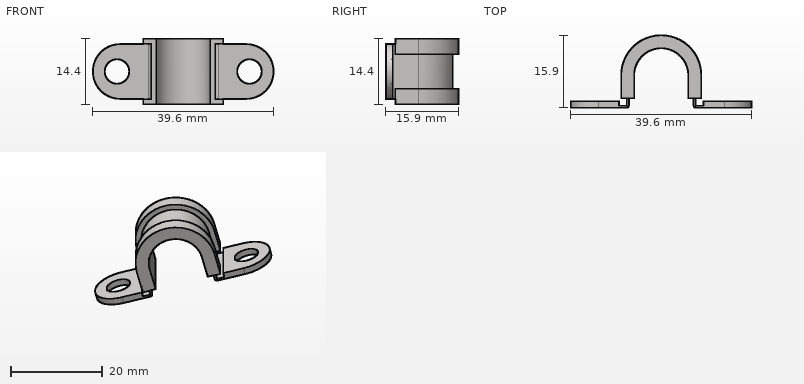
import cadquery as cq

total_length = 39.6
total_depth = 15.9
cushion_height = 14.4
cushion_outer_radius = 8.8
cushion_inner_radius = 5.9
cushion_leg_length = 5.05
groove_height = 7.52
strap_outer_radius = 7.55
strap_thickness = 0.5
strap_height = 12.05
bend_radius = 0.6
tab_thickness = 1.5
pad_inner_x = 9.23
hole_diameter = 5.3
hole_x = 14.5

front_y = cushion_outer_radius - total_depth
strap_inner_radius = strap_outer_radius - strap_thickness
tab_end_radius = strap_height / 2
tab_end_x = total_length / 2 - tab_end_radius


def arch(outer_radius, inner_radius, leg_length, height):
    """Half ring with straight legs, centred in height on the XY plane."""
    return (
        cq.Workplane("XY")
        .workplane(offset=-height / 2)
        .moveTo(-outer_radius, -leg_length)
        .lineTo(-outer_radius, 0)
        .threePointArc((0, outer_radius), (outer_radius, 0))
        .lineTo(outer_radius, -leg_length)
        .lineTo(inner_radius, -leg_length)
        .lineTo(inner_radius, 0)
        .threePointArc((0, inner_radius), (-inner_radius, 0))
        .lineTo(-inner_radius, -leg_length)
        .close()
        .extrude(height)
    )


def cushion():
    """Clamp lining whose outside groove exposes the strap."""
    body = arch(cushion_outer_radius, cushion_inner_radius, cushion_leg_length, cushion_height)
    groove = arch(cushion_outer_radius, strap_outer_radius, cushion_leg_length, groove_height)
    return body.cut(groove)


def tab_plate(inner_x, thickness):
    """Round-ended plate on the +X side, with its front face at front_y."""
    return (
        cq.Workplane("XZ", origin=(0, front_y, 0))
        .moveTo(inner_x, -tab_end_radius)
        .lineTo(tab_end_x, -tab_end_radius)
        .threePointArc((total_length / 2, 0), (tab_end_x, tab_end_radius))
        .lineTo(inner_x, tab_end_radius)
        .close()
        .extrude(-thickness)
    )


def mounting_tab():
    """Bent strap end, thickened around its mounting hole."""
    leg = cq.Workplane("XY").box(
        strap_thickness,
        -cushion_leg_length - front_y,
        strap_height,
        centered=(False, False, True),
    ).translate((strap_inner_radius, front_y, 0))
    bent_strip = leg.union(tab_plate(strap_inner_radius, strap_thickness))
    bent_strip = bent_strip.edges("|Z and <X and <Y").fillet(bend_radius)
    hole = (
        cq.Workplane("XZ", origin=(hole_x, front_y, 0))
        .circle(hole_diameter / 2)
        .extrude(-tab_thickness)
    )
    return bent_strip.union(tab_plate(pad_inner_x, tab_thickness)).cut(hole)


right_tab = mounting_tab()
left_tab = right_tab.mirror("YZ")
result = cushion().union(right_tab).union(left_tab)